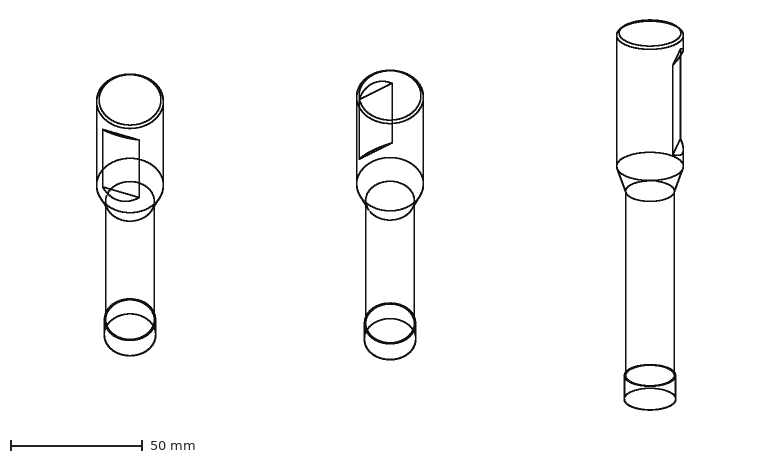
import cadquery as cq
import math

total_length = 156.5
shank_diameter = 25.4
shank_chamfer = 1.0
shank_length = 55.7
taper_length = 10.3
neck_diameter = 18.5

tip_height = 13.5
tip_diameter = 19.5
tip_back_diameter = 19.4
point_slope = 20.0

flat_depth = 2.3
flat_length = 37.4
flat_top_distance = 9.0

shank_radius = shank_diameter / 2
neck_radius = neck_diameter / 2
tip_radius = tip_diameter / 2
point_height = tip_radius * math.tan(math.radians(point_slope))
shank_bottom = total_length - shank_length
taper_bottom = shank_bottom - taper_length
flat_top = total_length - flat_top_distance
flat_bottom = flat_top - flat_length


def revolve_profile(points):
    """Revolve a closed (radius, Z) outline around the Z axis."""
    profile = cq.Workplane("XZ").polyline(points).close()
    return profile.revolve(360, (0, 0, 0), (0, 1, 0))


def make_clamping_flat_cutter():
    """Trapezoidal block that cuts the flat with 45 degree end faces."""
    flat_y = -shank_radius + flat_depth
    reach = 2 * flat_depth
    return (
        cq.Workplane("YZ")
        .polyline([
            (flat_y, flat_bottom),
            (flat_y, flat_top),
            (flat_y - reach, flat_top + reach),
            (flat_y - reach, flat_bottom - reach),
        ])
        .close()
        .extrude(shank_radius, both=True)
    )


def make_holder():
    """Chamfered shank with a tapered step down to the neck and a clamping flat."""
    holder = revolve_profile([
        (0, tip_height),
        (neck_radius, tip_height),
        (neck_radius, taper_bottom),
        (shank_radius, shank_bottom),
        (shank_radius, total_length - shank_chamfer),
        (shank_radius - shank_chamfer, total_length),
        (0, total_length),
    ])
    return holder.cut(make_clamping_flat_cutter())


def make_tip():
    """Slightly back-tapered tip with a conical point, seated on the neck's end."""
    return revolve_profile([
        (0, 0),
        (tip_radius, point_height),
        (tip_back_diameter / 2, tip_height),
        (0, tip_height),
    ])


holder = make_holder()
tip = make_tip()

result = cq.Compound.makeCompound([holder.val(), tip.val()])